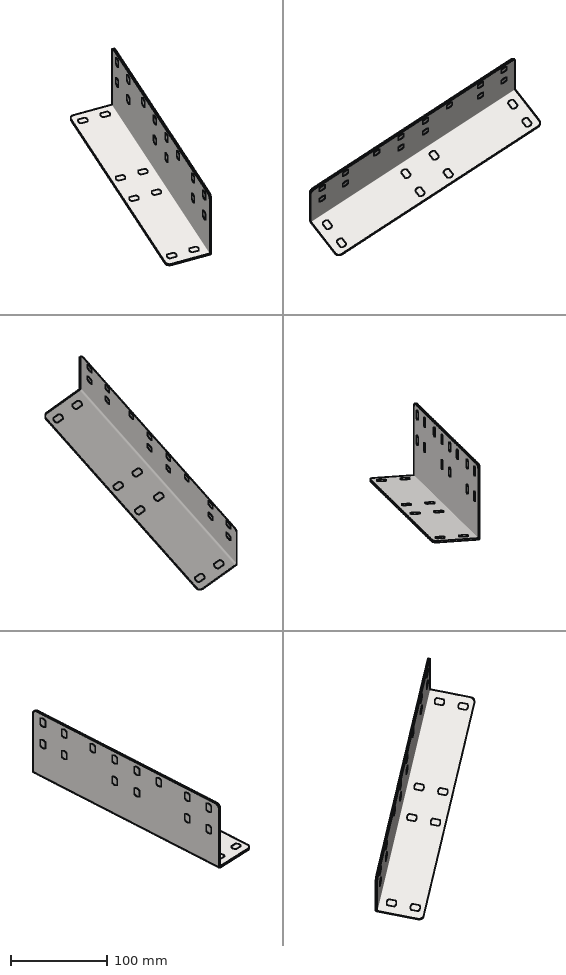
import cadquery as cq

length = 260.0
overall_depth = 50.2
overall_height = 80.0
thickness = 2.0
bend_inner_radius = 0.3
bend_outer_radius = bend_inner_radius + thickness
corner_radius = 5.0

plug_diameter = 10.1
plug_width = 7.0
plug_proud = 0.1

flange_depth = overall_depth - plug_proud
wall_height = overall_height - plug_proud

wall_upper_offsets = (15.5, 46.3, 86.0, 115.7)
wall_lower_offsets = (15.5, 86.0, 115.7)
flange_offsets = (18.0, 118.0)
wall_upper_inset = 10.0
wall_row_spacing = 27.0
flange_outer_inset = 10.5
flange_row_spacing = 25.2


def make_sheet():
    """L-shaped sheet with a rounded bend and rounded free corners."""
    half_length = length / 2
    sheet = (
        cq.Workplane("YZ", origin=(-half_length, 0, 0))
        .moveTo(0, 0)
        .lineTo(-flange_depth, 0)
        .lineTo(-flange_depth, thickness)
        .lineTo(-thickness, thickness)
        .lineTo(-thickness, wall_height)
        .lineTo(0, wall_height)
        .close()
        .extrude(length)
    )
    sheet = sheet.edges(cq.selectors.NearestToPointSelector((0, 0, 0))).fillet(bend_outer_radius)
    inner_bend = cq.selectors.NearestToPointSelector((0, -thickness, thickness))
    sheet = sheet.edges(inner_bend).fillet(bend_inner_radius)
    sheet = sheet.faces(">Z").edges("|Y").fillet(corner_radius)
    return sheet.faces("<Y").edges("|Z").fillet(corner_radius)


def make_plugs(plane, centers):
    """Double-flat plugs at the given centers, starting proud of one face of the sheet."""
    disc = cq.Sketch().push(centers).circle(plug_diameter / 2).reset()
    flats = cq.Sketch().push(centers).rect(plug_width, plug_diameter).reset()
    height = thickness + 2 * plug_proud
    round_part = plane.placeSketch(disc).extrude(height)
    flat_part = plane.placeSketch(flats).extrude(height)
    return round_part.intersect(flat_part)


def mirrored_row(offsets, height):
    """Points at equal distances on both sides of the middle."""
    return [(side * offset, height) for offset in offsets for side in (-1, 1)]


def make_wall_plugs():
    """Plugs through the wall, proud on both of its faces."""
    upper_z = wall_height - wall_upper_inset
    centers = mirrored_row(wall_upper_offsets, upper_z)
    centers += mirrored_row(wall_lower_offsets, upper_z - wall_row_spacing)
    back_face = cq.Workplane("XZ", origin=(0, plug_proud, 0))
    return make_plugs(back_face, centers)


def make_flange_plugs():
    """Plugs through the flange, proud on both of its faces."""
    outer_y = flange_outer_inset - flange_depth
    centers = mirrored_row(flange_offsets, outer_y)
    centers += mirrored_row(flange_offsets, outer_y + flange_row_spacing)
    lower_face = cq.Workplane("XY", origin=(0, 0, -plug_proud))
    return make_plugs(lower_face, centers)


result = make_sheet().union(make_wall_plugs()).union(make_flange_plugs())